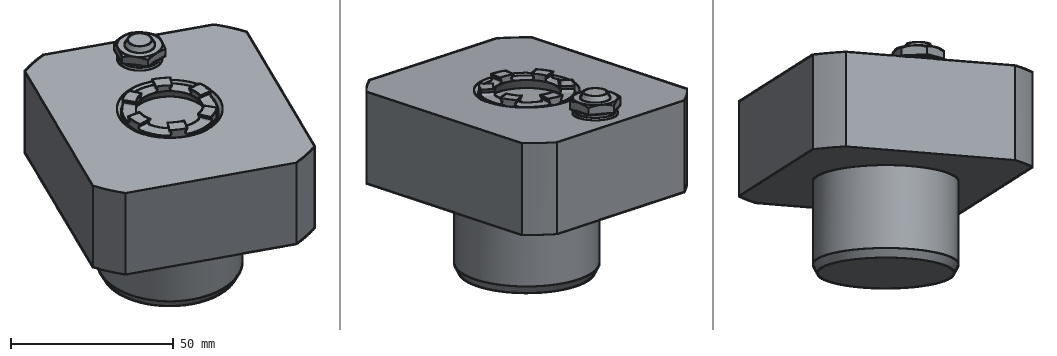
import cadquery as cq
import math


block_length = 82
block_width = 72.0
block_height = 30.0
corner_turning_diameter = 99.0

boss_diameter = 45.0
boss_height = 28.95
boss_chamfer_height = 2.7
boss_chamfer_inset = 1.4

ring_diameter = 29.5
ring_bore_diameter = 20.9
recess_diameter = 32.6
recess_depth = 1.2
recess_floor_diameter = recess_diameter - 2 * recess_depth
tooth_root_depth = 0.3
undercut_floor_depth = 3.6
undercut_angle = 30

tooth_count = 6
first_tooth_angle = -7.5
tooth_height = 1.8
tooth_outer_width = 5.7
tooth_inner_width = 5.25
tooth_undercut = 0.65
tooth_root_radius = 0.9
tooth_waist_height = tooth_root_radius - tooth_root_depth

stud_x = -29.9
collar_diameter = 12.6
collar_height = 2.0
collar_foot_diameter = 14.0
collar_foot_height = 0.6
collar_lip_diameter = 12.95
collar_lip_height = 0.3
nut_across_flats = 14.0
nut_height = 3.0
nut_chamfer_angle = 30
stud_base_diameter = 9.4
stud_tip_diameter = 7.4
stud_tip_height = 1.8


def cylinder(diameter, height, bottom_z=0):
    return cq.Workplane("XY").workplane(offset=bottom_z).circle(diameter / 2).extrude(height)


def cone(bottom_diameter, top_diameter, height, bottom_z):
    solid = cq.Solid.makeCone(bottom_diameter / 2, top_diameter / 2, height, cq.Vector(0, 0, bottom_z))
    return cq.Workplane(obj=solid)


def make_block():
    block = cq.Workplane("XY").box(block_length, block_width, block_height, centered=(True, True, False))
    turned = block.intersect(cylinder(corner_turning_diameter, block_height))
    return turned.translate((0, 0, -block_height))


def make_boss():
    straight_height = boss_height - boss_chamfer_height
    straight = cylinder(boss_diameter, straight_height, -block_height - straight_height)
    tip_diameter = boss_diameter - 2 * boss_chamfer_inset
    return straight.union(
        cone(tip_diameter, boss_diameter, boss_chamfer_height, -block_height - boss_height)
    )


def make_recess():
    """Conical groove around the ring, the sunken tooth roots and the bore of the ring."""
    groove = cone(recess_floor_diameter, recess_diameter, recess_depth, -recess_depth)
    ring = cylinder(ring_diameter, recess_depth - tooth_root_depth, -recess_depth)
    root_face = cylinder(ring_diameter, tooth_root_depth, -tooth_root_depth)
    undercut_height = undercut_floor_depth - tooth_root_depth
    undercut_floor_diameter = ring_bore_diameter + 2 * undercut_height * math.tan(math.radians(undercut_angle))
    bore = cone(undercut_floor_diameter, ring_bore_diameter, undercut_height, -undercut_floor_depth)
    return groove.cut(ring).union(root_face).union(bore)


def tooth_outline(inset):
    """Tapered tooth outline along +X, running between the bore and outer circles."""
    inner_x = ring_bore_diameter / 2
    outer_x = ring_diameter / 2
    inner_half = tooth_inner_width / 2 - inset
    outer_half = tooth_outer_width / 2 - inset
    overrun = 0.8
    start_x = math.sqrt(inner_x**2 - inner_half**2) - overrun
    end_x = outer_x + overrun
    slope = (outer_half - inner_half) / (outer_x - inner_x)
    start_half = inner_half + slope * (start_x - inner_x)
    end_half = inner_half + slope * (end_x - inner_x)
    return [(start_x, -start_half), (end_x, -end_half), (end_x, end_half), (start_x, start_half)]


def root_fillet_cutter(start, end):
    """Round bar along one flank of a tooth that leaves a concave fillet at its root."""
    run = cq.Vector(end[0] - start[0], end[1] - start[1], 0)
    outward = cq.Vector(run.y, -run.x, 0).normalized()
    axis_start = cq.Vector(start[0], start[1], tooth_waist_height) + outward * tooth_root_radius
    overrun = run.normalized() * tooth_root_radius
    bar_length = run.Length + 2 * tooth_root_radius
    return cq.Workplane(obj=cq.Solid.makeCylinder(tooth_root_radius, bar_length, axis_start - overrun, run))


def make_teeth():
    waist_outline = tooth_outline(tooth_undercut)
    root = (
        cq.Workplane("XY")
        .workplane(offset=-tooth_root_depth)
        .polyline(tooth_outline(tooth_undercut - tooth_root_radius)).close()
        .extrude(tooth_root_radius)
    )
    for start, end in ((waist_outline[0], waist_outline[1]), (waist_outline[2], waist_outline[3])):
        root = root.cut(root_fillet_cutter(start, end))
    flare = (
        cq.Workplane("XY")
        .workplane(offset=tooth_waist_height)
        .polyline(waist_outline).close()
        .workplane(offset=tooth_height - tooth_waist_height)
        .polyline(tooth_outline(0)).close()
        .loft(ruled=True)
    )
    full_height = tooth_root_depth + tooth_height
    ring = cylinder(ring_diameter, full_height, -tooth_root_depth)
    ring = ring.cut(cylinder(ring_bore_diameter, full_height, -tooth_root_depth))
    tooth = root.union(flare).intersect(ring)
    return [
        tooth.rotate((0, 0, 0), (0, 0, 1), first_tooth_angle + index * 360 / tooth_count)
        for index in range(tooth_count)
    ]


def make_nut():
    across_corners = nut_across_flats / math.cos(math.pi / 6)
    hexagon = cq.Workplane("XY").polygon(6, across_corners).extrude(nut_height)
    spread = 2 * nut_height / math.tan(math.radians(nut_chamfer_angle))
    trimming_cone = cone(nut_across_flats + spread, nut_across_flats, nut_height, 0)
    return hexagon.intersect(trimming_cone)


def make_stud():
    collar = cylinder(collar_diameter, collar_height)
    foot = cone(collar_foot_diameter, collar_diameter, collar_foot_height, 0)
    lip = cylinder(collar_lip_diameter, collar_lip_height, collar_height - collar_lip_height)
    nut = make_nut().translate((0, 0, collar_height))
    tip = cone(stud_base_diameter, stud_tip_diameter, stud_tip_height, collar_height + nut_height)
    return collar.union(foot).union(lip).union(nut).union(tip).translate((stud_x, 0, 0))


result = make_block().union(make_boss()).cut(make_recess())
for tooth in make_teeth():
    result = result.union(tooth)
result = result.union(make_stud())